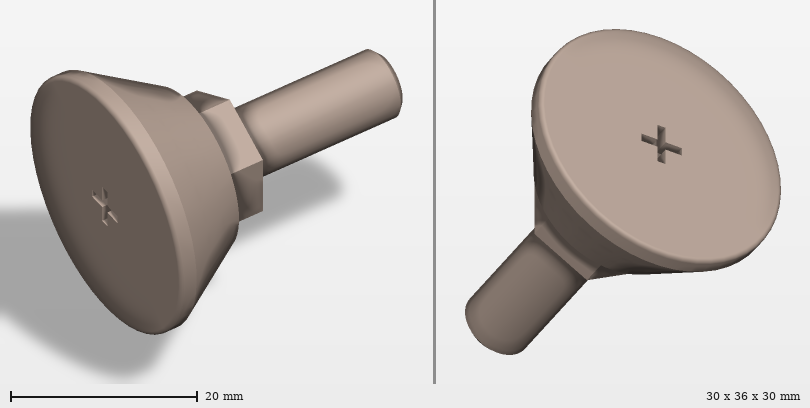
import cadquery as cq
import math


foot_diameter = 30.0
rim_height = 2.0
rim_fillet = 0.5
cone_height = 9.0
cone_top_diameter = 19.0

hex_across_flats = 13.0
hex_height = 5.0

stud_diameter = 8.0
stud_length = 20.0
stud_chamfer = 0.75

cross_length = 5.0
cross_width = 1.0
cross_depth = 2.0

foot_height = rim_height + cone_height
hex_top = foot_height + hex_height


def plane_at(height):
    """Workplane at a height above the floor face, with its normal along +Y and its local x along Z."""
    return cq.Workplane(cq.Plane(origin=(0, height, 0), xDir=(0, 0, 1), normal=(0, 1, 0)))


def make_foot():
    rim_radius = foot_diameter / 2
    profile = (
        cq.Workplane("YZ")
        .lineTo(0, rim_radius)
        .lineTo(rim_height, rim_radius)
        .lineTo(foot_height, cone_top_diameter / 2)
        .lineTo(foot_height, 0)
        .close()
    )
    foot = profile.revolve(360, (0, 0, 0), (1, 0, 0))
    return foot.faces("<Y").edges().fillet(rim_fillet)


def make_hex_collar():
    across_corners = hex_across_flats / math.cos(math.pi / 6)
    return plane_at(foot_height).polygon(6, across_corners).extrude(hex_height)


def make_stud():
    stud = plane_at(hex_top).circle(stud_diameter / 2).extrude(stud_length)
    return stud.faces(">Y").edges().chamfer(stud_chamfer)


def make_cross_recess():
    bar = plane_at(0).rect(cross_length, cross_width).extrude(cross_depth)
    crossbar = plane_at(0).rect(cross_width, cross_length).extrude(cross_depth)
    return bar.union(crossbar)


result = make_foot().union(make_hex_collar()).union(make_stud()).cut(make_cross_recess())